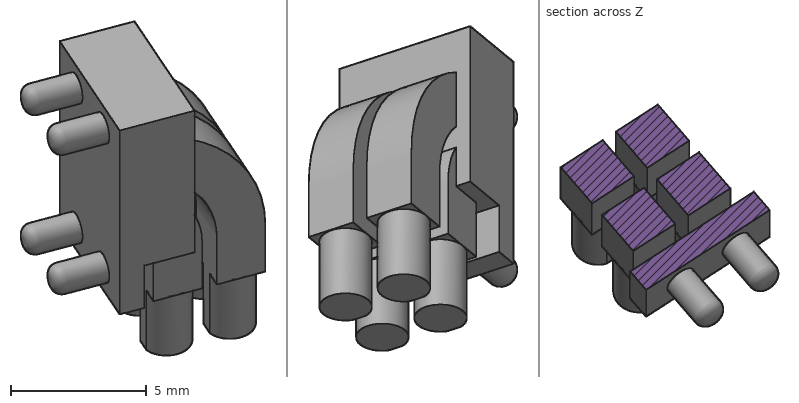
import cadquery as cq
import math

total_height = 11.85

housing_width = 5.7
housing_depth = 3.0
housing_bottom = 3.14
lip_depth = 1.0
lip_height = 2.0
step_z = housing_bottom + lip_height

pitch = 2.54
column_positions = (-pitch / 2, pitch / 2)

pin_radius = 0.6
pin_tip_radius = 0.4
pin_length = 2.11
upper_pin_inset = 1.04
pin_row_spacing = 6.6
upper_pin_z = total_height - upper_pin_inset
lower_pin_z = upper_pin_z - pin_row_spacing

lead_size = 1.94
rear_lead_back = 6.09
lead_bottom = 2.81
bend_start_z = 5.05
rear_bend_radius = 5.6
bend_center_y = rear_lead_back - rear_bend_radius
tip_offset = 0.05


def make_housing():
    profile = [
        (0, housing_bottom),
        (lip_depth, housing_bottom),
        (lip_depth, step_z),
        (housing_depth, step_z),
        (housing_depth, total_height),
        (0, total_height),
    ]
    block = cq.Workplane("YZ").polyline(profile).close()
    return block.extrude(housing_width / 2, both=True)


def make_pin(x, z):
    pin = cq.Workplane("XZ", origin=(x, 0, z)).circle(pin_radius).extrude(pin_length)
    return pin.faces("<Y").edges().fillet(pin_tip_radius)


def quarter_point(radius):
    """Midpoint of the quarter bend of the given radius."""
    reach = radius * math.sqrt(0.5)
    return bend_center_y + reach, bend_start_z + reach


def make_lead(x, back_y):
    """Square lead: a straight drop below a quarter bend about the shared bend centre."""
    front_y = back_y - lead_size
    outer_radius = back_y - bend_center_y
    inner_radius = front_y - bend_center_y
    bent_bar = (
        cq.Workplane("YZ", origin=(x, 0, 0))
        .moveTo(front_y, lead_bottom)
        .lineTo(back_y, lead_bottom)
        .lineTo(back_y, bend_start_z)
        .threePointArc(quarter_point(outer_radius), (bend_center_y, bend_start_z + outer_radius))
        .lineTo(bend_center_y, bend_start_z + inner_radius)
        .threePointArc(quarter_point(inner_radius), (front_y, bend_start_z))
        .close()
        .extrude(lead_size / 2, both=True)
    )
    center_y = (front_y + back_y) / 2
    envelope = cq.Workplane("XY").center(x, center_y).rect(lead_size, lead_size).extrude(lead_bottom)
    tip = (
        cq.Workplane("XY")
        .center(x, center_y - tip_offset)
        .circle(lead_size / 2)
        .extrude(lead_bottom)
        .intersect(envelope)
    )
    return bent_bar.union(tip)


result = make_housing()
for column_x in column_positions:
    for pin_z in (upper_pin_z, lower_pin_z):
        result = result.union(make_pin(column_x, pin_z))
    for lead_back in (rear_lead_back, rear_lead_back - pitch):
        result = result.union(make_lead(column_x, lead_back))